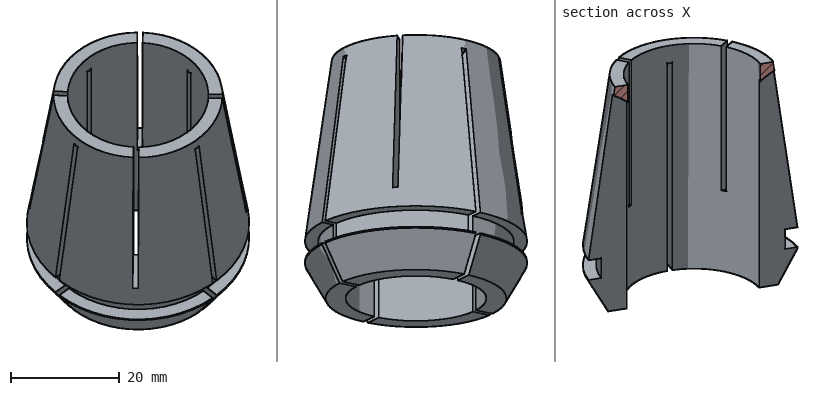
import cadquery as cq
import math

height = 46.0
max_diameter = 41.0
max_radius = max_diameter / 2
top_radius = 15.55
bottom_radius = 16.65
bore_radius = 12.95

groove_radius = 18.05
groove_top = 11.1
groove_bottom = 7.1
rim_bottom = 6.8

slot_width = 1.0
slot_count = 4
lower_slot_inner_end = 42.3
lower_slot_outer_end = 44.15
upper_slot_inner_end = 16.5
upper_slot_outer_end = 15.0
saw_radius = 22.55
bore_margin = 0.05
overcut = 2.3


def cone_radius(z):
    """Radius of the long outer cone at height z."""
    fraction = (z - groove_top) / (height - groove_top)
    return max_radius + fraction * (top_radius - max_radius)


def make_body():
    """Revolve the bored, grooved double cone about Z."""
    profile = [
        (bore_radius, 0),
        (bottom_radius, 0),
        (max_radius, rim_bottom),
        (max_radius, groove_bottom),
        (groove_radius, groove_bottom),
        (groove_radius, groove_top),
        (max_radius, groove_top),
        (top_radius, height),
        (bore_radius, height),
    ]
    return cq.Workplane("XZ").polyline(profile).close().revolve(360, (0, 0), (0, 1))


def make_slot_cutter(open_z, inner_end, outer_end):
    """Radial slot along +X, open at open_z and ending in a concave arc through the wall."""
    inner_x = bore_radius - bore_margin
    outer_x = cone_radius(outer_end)
    run = outer_x - inner_x
    rise = outer_end - inner_end
    chord = math.hypot(run, rise)
    sagitta = saw_radius - math.sqrt(saw_radius**2 - (chord / 2) ** 2)
    away = math.copysign(sagitta / chord, inner_end - open_z)
    arc_middle = (
        (inner_x + outer_x) / 2 - away * rise,
        (inner_end + outer_end) / 2 + away * run,
    )
    start = bore_radius - overcut
    stop = max_radius + overcut
    return (
        cq.Workplane("XZ")
        .moveTo(start, open_z)
        .lineTo(start, inner_end)
        .lineTo(inner_x, inner_end)
        .threePointArc(arc_middle, (outer_x, outer_end))
        .lineTo(stop, outer_end)
        .lineTo(stop, open_z)
        .close()
        .extrude(slot_width / 2, both=True)
    )


def cut_slots(body, cutter, first_angle):
    """Cut equally spaced copies of the slot around Z."""
    for index in range(slot_count):
        angle = first_angle + index * 360 / slot_count
        body = body.cut(cutter.rotate((0, 0, 0), (0, 0, 1), angle))
    return body


lower_slot = make_slot_cutter(-overcut, lower_slot_inner_end, lower_slot_outer_end)
upper_slot = make_slot_cutter(height + overcut, upper_slot_inner_end, upper_slot_outer_end)

result = make_body()
result = cut_slots(result, lower_slot, 0)
result = cut_slots(result, upper_slot, 180 / slot_count)